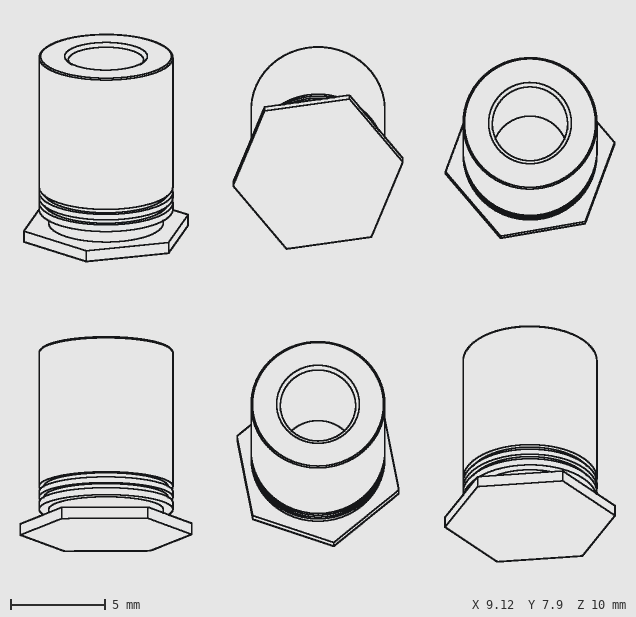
import cadquery as cq
import math

total_height = 10.0
hex_across_flats = 7.9
hex_thickness = 0.61

body_diameter = 7.12
neck_diameter = 6.1
groove_diameter = 6.61
neck_top = 1.38
lower_collar_height = 0.38
groove_height = 0.28
upper_collar_height = 0.31
top_chamfer = 0.08

bore_diameter = 4.0
bore_mouth_diameter = 4.4
drill_point_angle = 118.0
bore_floor_thickness = 0.5


def cylinder(diameter, bottom, top):
    """Solid cylinder on the Z axis between two heights."""
    return cq.Workplane("XY").workplane(offset=bottom).circle(diameter / 2).extrude(top - bottom)


def groove(bottom):
    """Ring that cuts one groove into the barrel."""
    ring = cylinder(body_diameter, bottom, bottom + groove_height)
    return ring.cut(cylinder(groove_diameter, bottom, bottom + groove_height))


def bore():
    """Revolved bore: mouth chamfer, straight wall and conical bottom."""
    radius = bore_diameter / 2
    mouth_radius = bore_mouth_diameter / 2
    mouth_depth = mouth_radius - radius
    cone_depth = radius / math.tan(math.radians(drill_point_angle / 2))
    tip = bore_floor_thickness
    profile = (
        cq.Workplane("XZ")
        .moveTo(0, tip)
        .lineTo(radius, tip + cone_depth)
        .lineTo(radius, total_height - mouth_depth)
        .lineTo(mouth_radius, total_height)
        .lineTo(0, total_height)
        .close()
    )
    return profile.revolve(360, (0, 0, 0), (0, 1, 0))


hex_across_corners = hex_across_flats / math.cos(math.radians(30))
head = cq.Workplane("XY").polygon(6, hex_across_corners).extrude(hex_thickness)

neck = cylinder(neck_diameter, 0, neck_top)
barrel = cylinder(body_diameter, neck_top, total_height).faces(">Z").edges().chamfer(top_chamfer)

lower_groove_bottom = neck_top + lower_collar_height
upper_groove_bottom = lower_groove_bottom + groove_height + upper_collar_height
for groove_bottom in (lower_groove_bottom, upper_groove_bottom):
    barrel = barrel.cut(groove(groove_bottom))

result = head.union(neck).union(barrel).cut(bore())